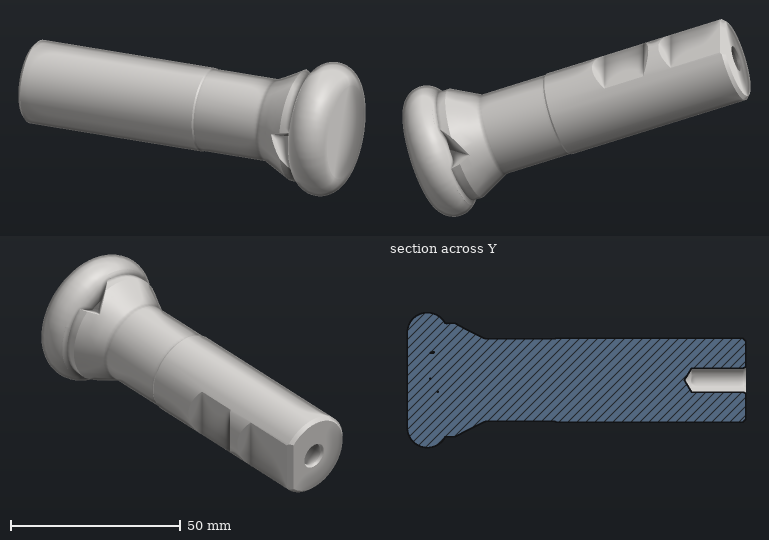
import cadquery as cq
import math

total_length = 100.0

shank_radius = 12.5
shank_length = 56.0
end_chamfer = 1.0
neck_radius = 12.25
neck_step_length = 0.5

cone_start_x = 76.85
cone_end_x = 85.75
body_radius = 16.8
neck_blend_radius = 2.0

rim_outer_radius = 20.0
rim_tube_radius = 6.0
rim_center_radius = rim_outer_radius - rim_tube_radius
rim_center_x = total_length - rim_tube_radius

flat_y = 9.7
flat_ramp = shank_radius - flat_y
end_flat_length = 17.0
middle_flat_start = 25.8
middle_flat_end = 38.05
end_flat_chamfer = 1.4

hole_radius = 3.5
hole_depth = 16.0
hole_chamfer_width = 0.4
hole_chamfer_depth = 0.8
drill_tip_angle = 118.0

gullet_count = 3
gullet_tip = (82.35, 15.1, 2.25)
gullet_root = (87.9, 9.4, 0.1)
wall_edge = (85.75, 16.4, 3.7)
floor_edge = (85.75, 16.1, -4.7)
gullet_reach = 3.0
gullet_outward_lean = 0.5

lip_start_x = 88.6
lip_edge_x = 89.5
lip_radius = 18.0
lip_end_x = 90.5
lip_start_angle = 36.0
lip_sweep_angle = 52.0


def repeat_around_axis(shape):
    step = 360 / gullet_count
    return [shape.rotate((0, 0, 0), (1, 0, 0), index * step) for index in range(gullet_count)]


def make_shank_and_body():
    profile = (
        cq.Workplane("XY")
        .moveTo(0, 0)
        .lineTo(0, shank_radius - end_chamfer)
        .lineTo(end_chamfer, shank_radius)
        .lineTo(shank_length, shank_radius)
        .lineTo(shank_length + neck_step_length, neck_radius)
    )
    half_angle = math.atan2(body_radius - neck_radius, cone_end_x - cone_start_x) / 2
    tangent = neck_blend_radius * math.tan(half_angle)
    cone_angle = 2 * half_angle
    blend_start_x = cone_start_x - tangent
    blend_middle = (
        blend_start_x + neck_blend_radius * math.sin(half_angle),
        neck_radius + neck_blend_radius * (1 - math.cos(half_angle)),
    )
    blend_end = (
        cone_start_x + tangent * math.cos(cone_angle),
        neck_radius + tangent * math.sin(cone_angle),
    )
    profile = (
        profile.lineTo(blend_start_x, neck_radius)
        .threePointArc(blend_middle, blend_end)
        .lineTo(cone_end_x, body_radius)
        .lineTo(rim_center_x, body_radius)
        .lineTo(rim_center_x, 0)
        .close()
    )
    return profile.revolve(360, (0, 0, 0), (1, 0, 0))


def make_rim():
    """Ring of round section around a solid hub, with a core that is flush with its front."""
    ring = (
        cq.Workplane("XY")
        .center(rim_center_x, rim_center_radius)
        .circle(rim_tube_radius)
        .revolve(360, (0, -rim_center_radius, 0), (1, -rim_center_radius, 0))
    )
    front_core = (
        cq.Workplane("YZ")
        .workplane(offset=rim_center_x)
        .circle(rim_center_radius)
        .extrude(rim_tube_radius)
    )
    hub = (
        cq.Workplane("YZ")
        .workplane(offset=rim_center_x - rim_tube_radius)
        .circle(rim_center_radius - rim_tube_radius)
        .extrude(rim_tube_radius)
    )
    return ring.union(front_core).union(hub)


def make_flat_cutter():
    """Everything above the two flats, with the chamfer at the shank end."""
    top_y = shank_radius
    end_flat = [
        (0, flat_y - end_flat_chamfer),
        (end_flat_chamfer, flat_y),
        (end_flat_length, flat_y),
        (end_flat_length + flat_ramp, top_y),
        (0, top_y),
    ]
    middle_flat = [
        (middle_flat_start - flat_ramp, top_y),
        (middle_flat_start, flat_y),
        (middle_flat_end, flat_y),
        (middle_flat_end + flat_ramp, top_y),
    ]
    cutter = cq.Workplane("XY")
    for outline in (end_flat, middle_flat):
        prism = cq.Workplane("XY").polyline(outline).close().extrude(shank_radius, both=True)
        cutter = cutter.add(prism)
    return cutter.combine()


def make_hole():
    mouth_radius = hole_radius + hole_chamfer_width
    tip_length = hole_radius / math.tan(math.radians(drill_tip_angle / 2))
    outline = [
        (0, 0),
        (0, mouth_radius),
        (hole_chamfer_depth, hole_radius),
        (hole_depth, hole_radius),
        (hole_depth + tip_length, 0),
    ]
    return cq.Workplane("XY").polyline(outline).close().revolve(360, (0, 0, 0), (1, 0, 0))


def make_gullet_cutter():
    """Tetrahedron whose apex is the notch tip and whose faces are the wall and the floor."""
    tip = cq.Vector(gullet_tip[0], -gullet_tip[1], gullet_tip[2])

    def from_tip(corner):
        return cq.Vector(corner[0], -corner[1], corner[2]) - tip

    root_direction = from_tip(gullet_root)
    lean = root_direction * gullet_outward_lean
    root = tip + root_direction * gullet_reach
    upper = tip + (from_tip(wall_edge) - lean) * gullet_reach
    lower = tip + (from_tip(floor_edge) - lean) * gullet_reach
    faces = [
        cq.Face.makeFromWires(cq.Wire.makePolygon(list(corners), close=True))
        for corners in (
            (tip, root, upper),
            (tip, lower, root),
            (tip, upper, lower),
            (root, lower, upper),
        )
    ]
    return cq.Workplane(cq.Solid.makeSolid(cq.Shell.makeShell(faces)))


def cut_gullets(body):
    for cutter in repeat_around_axis(make_gullet_cutter()):
        body = body.cut(cutter)
    return body


def make_lip():
    outline = [
        (lip_start_x, -body_radius),
        (lip_edge_x, -lip_radius),
        (lip_end_x, -lip_radius),
        (lip_end_x, -body_radius),
    ]
    lip = cq.Workplane("XY").polyline(outline).close().revolve(lip_sweep_angle, (0, 0, 0), (-1, 0, 0))
    return lip.rotate((0, 0, 0), (-1, 0, 0), lip_start_angle)


def add_lips(body):
    for lip in repeat_around_axis(make_lip()):
        body = body.union(lip)
    return body


body = cut_gullets(make_shank_and_body()).union(make_rim())
body = add_lips(body)
body = body.cut(make_flat_cutter()).cut(make_hole())
result = cq.Workplane(body.solids().val())